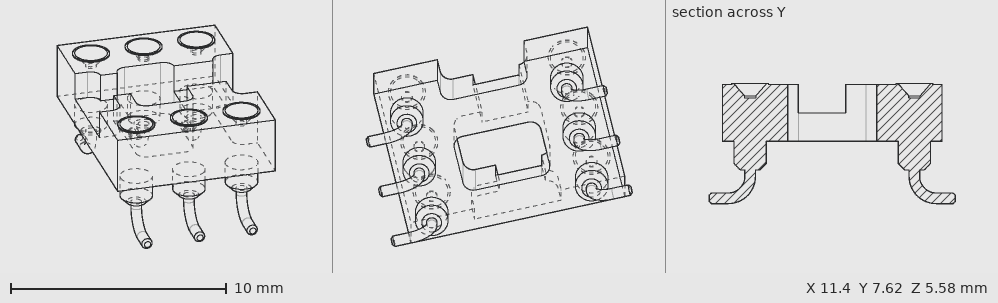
import cadquery as cq

BODY_LENGTH = 10.19
BODY_WIDTH = 7.62
BODY_HEIGHT = 2.65

OPENING_LENGTH = 4.12
CORNER_RADIUS = 0.49
END_CUT_DEPTH = 1.1
WINDOW_WIDTH = 2.73
WINDOW_CENTER_Y = -0.55
CHANNEL_WIDTH = 2.19
RECESS_FLOOR = BODY_HEIGHT / 2

CONTACTS_PER_ROW = 3
PITCH = BODY_WIDTH / CONTACTS_PER_ROW
ROW_SPACING = 7.62

RIM_DIAMETER = 1.72
RIM_HEIGHT = 0.05
SLEEVE_DIAMETER = 1.52
SLEEVE_DROP = 1.02
TAPER_HEIGHT = 0.31
TAPER_END_DIAMETER = 0.91
FUNNEL_DEPTH = 0.58
BORE_DIAMETER = 0.5
BORE_DEPTH = 0.67

OVERALL_LENGTH = 11.42
OVERALL_HEIGHT = 5.58
TAIL_DIAMETER = 0.5
NECK_HEIGHT = 0.3
TIP_CHAMFER = 0.1

rim_top = BODY_HEIGHT + RIM_HEIGHT
taper_top = -SLEEVE_DROP
neck_top = taper_top - TAPER_HEIGHT
bend_top = neck_top - NECK_HEIGHT
tail_axis_z = rim_top - OVERALL_HEIGHT + TAIL_DIAMETER / 2
bend_radius = bend_top - tail_axis_z
tail_reach = (OVERALL_LENGTH - ROW_SPACING) / 2


def rounded_cutter(width, center_y, bottom):
    """Upright block with rounded corners, from the given height to the top of the housing."""
    return (
        cq.Workplane("XY", origin=(0, center_y, bottom))
        .rect(OPENING_LENGTH, width)
        .extrude(BODY_HEIGHT - bottom)
        .edges("|Z")
        .fillet(CORNER_RADIUS)
    )


def make_housing():
    block = cq.Workplane("XY").box(BODY_LENGTH, BODY_WIDTH, BODY_HEIGHT, centered=(True, True, False))

    back_notch = rounded_cutter(2 * END_CUT_DEPTH, BODY_WIDTH / 2, 0)
    front_recess = rounded_cutter(2 * END_CUT_DEPTH, -BODY_WIDTH / 2, RECESS_FLOOR)
    window = rounded_cutter(WINDOW_WIDTH, WINDOW_CENTER_Y, 0)

    channel_left = -OPENING_LENGTH / 2 + CORNER_RADIUS
    channel = cq.Workplane("XY").box(
        CHANNEL_WIDTH, BODY_WIDTH, BODY_HEIGHT - RECESS_FLOOR, centered=(False, True, False)
    ).translate((channel_left, 0, RECESS_FLOOR))

    return block.cut(back_notch).cut(front_recess).cut(window).cut(channel)


def make_sleeve():
    """Turned sleeve with a raised rim, a tapered lower end and a short neck."""
    profile = [
        (0, rim_top),
        (RIM_DIAMETER / 2, rim_top),
        (RIM_DIAMETER / 2, BODY_HEIGHT),
        (SLEEVE_DIAMETER / 2, BODY_HEIGHT),
        (SLEEVE_DIAMETER / 2, taper_top),
        (TAPER_END_DIAMETER / 2, neck_top),
        (TAIL_DIAMETER / 2, neck_top),
        (TAIL_DIAMETER / 2, bend_top),
        (0, bend_top),
    ]
    return cq.Workplane("XZ").polyline(profile).close().revolve(360, (0, 0), (0, 1))


def make_socket():
    """Entry funnel with a blind bore below it."""
    funnel_bottom = rim_top - FUNNEL_DEPTH
    bore_bottom = rim_top - BORE_DEPTH
    profile = [
        (0, rim_top),
        (SLEEVE_DIAMETER / 2, rim_top),
        (BORE_DIAMETER / 2, funnel_bottom),
        (BORE_DIAMETER / 2, bore_bottom),
        (0, bore_bottom),
    ]
    return cq.Workplane("XZ").polyline(profile).close().revolve(360, (0, 0), (0, 1))


def make_tail():
    """Round pin that bends a quarter turn from straight down to +X and ends in a chamfered tip."""
    bend = (
        cq.Workplane("XY", origin=(0, 0, bend_top))
        .circle(TAIL_DIAMETER / 2)
        .revolve(90, (bend_radius, 0), (bend_radius, -1))
    )
    foot = (
        cq.Workplane("YZ", origin=(bend_radius, 0, tail_axis_z))
        .circle(TAIL_DIAMETER / 2)
        .extrude(tail_reach - bend_radius)
        .faces(">X")
        .chamfer(TIP_CHAMFER)
    )
    return bend.union(foot)


contact = make_sleeve().union(make_tail())
socket = make_socket()
result = make_housing()

for row_x, turn in ((ROW_SPACING / 2, 0), (-ROW_SPACING / 2, 180)):
    for index in range(CONTACTS_PER_ROW):
        place = (row_x, (index - (CONTACTS_PER_ROW - 1) / 2) * PITCH, 0)
        turned_contact = contact.rotate((0, 0, 0), (0, 0, 1), turn)
        result = result.union(turned_contact.translate(place)).cut(socket.translate(place))